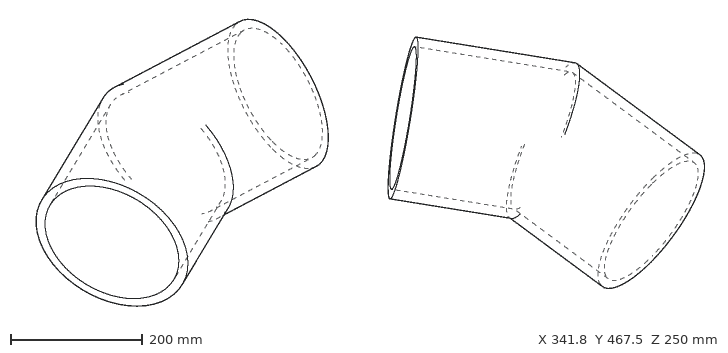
import cadquery as cq
import math

overall_length = 467.5
outer_diameter = 250.0
wall = 15.0
bend_angle = 30.0

outer_radius = outer_diameter / 2
inner_radius = outer_radius - wall
bend_sin = math.sin(math.radians(bend_angle))
bend_cos = math.cos(math.radians(bend_angle))

leg_length = (overall_length - outer_radius * bend_sin) / (1 + bend_cos)

mitre_point = (0, leg_length)
far_end = (leg_length * bend_sin, leg_length * (1 + bend_cos))
centreline = cq.Workplane("XY").polyline([(0, 0), mitre_point, far_end])
pipe_section = cq.Workplane("XZ").circle(outer_radius).circle(inner_radius)
result = pipe_section.sweep(centreline, transition="right")